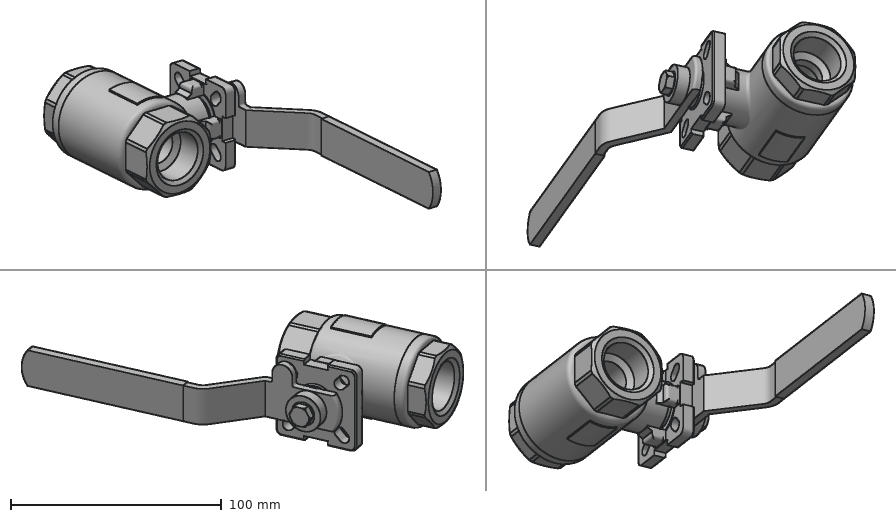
import cadquery as cq
import math


length = 188.8
cap_face_x = -46.8
joint_x = -30.8
flange_x = -36.5
shoulder_x = 17.0
housing_face_x = 34.2

barrel_diameter = 44.7
barrel_fillet = 2.8
flange_fillet = 1.7

octagon_flats = 38.3
octagon_corner_radius = 20.4
end_face_radius = 18.1
end_chamfer_length = 1.5

port_radius = 8.7
thread_radius = 12.0
thread_mouth_radius = 14.2
mouth_depth = 1.7
thread_depth = 15.0
cone_depth = 1.9
spigot_radius = 16.0
spigot_length = 5.7

plate_length = 21.7
plate_width = 14.7
plate_radius = 23.0

neck_radius = 13.5
neck_top_y = 34.4
neck_fillet = 1.5

pad_bottom_y = 37.4
pad_top_y = 43.8
pad_size = 42.9
pad_corner = 3.0
pad_relief = 0.4
pad_chamfer = 0.8
pad_recess_width = 12.6
pad_recess_depth = 2.6
slot_inner = 12.6
slot_outer = 15.0
slot_radius = 2.8

lug_width = 9.3
lug_outer = 18.3
lug_bottom_y = 30.2
lug_root_y = 27.5
lug_heel = 15.3
lug_edge_fillet = 1.3
lug_corner_fillet = 1.7
lug_land = 1.1

stem_radius = 6.0
stem_bottom_y = 11.3

bush_radius = 10.0
bush_shoulder_height = 0.8
collar_radius = 9.3
handle_bottom_y = 46.5
handle_thickness = 4.2
collar_top_y = 56.8

hex_flats = 9.8
hex_height = 4.0
hex_chamfer = 0.5

handle_width = 18.9
crank_start_x = 25.3
crank_angle = 45.0
crank_rise = 22.5
crank_radius = 5.5
handle_end_radius = 16.0
handle_edge_fillet = 1.3
finger_left_x = 9.0
finger_right_x = 19.8
finger_top_z = 19.8
finger_shoulder_z = 15.1
finger_root_fillet = 1.1

grip_start_x = 55.7
grip_thickness = 5.0
grip_tip_bulge = 3.2

barrel_radius = barrel_diameter / 2
grip_tip_x = cap_face_x + length
handle_top_y = handle_bottom_y + handle_thickness
grip_top_y = handle_top_y + crank_rise


def x_cylinder(radius, start_x, end_x):
    return cq.Workplane("YZ", origin=(start_x, 0, 0)).circle(radius).extrude(end_x - start_x)


def y_cylinder(radius, start_y, end_y):
    return cq.Workplane("XZ", origin=(0, start_y, 0)).circle(radius).extrude(start_y - end_y)


def wrench_end(face_x, inner_x):
    """Octagon with rounded corners and a conical chamfer at its outer face."""
    inward = math.copysign(1, inner_x - face_x)
    octagon = (
        cq.Workplane("YZ", origin=(face_x, 0, 0))
        .polygon(8, octagon_flats, circumscribed=True)
        .extrude(inner_x - face_x)
    )
    envelope = (
        cq.Workplane("XY")
        .moveTo(face_x, 0)
        .lineTo(face_x, end_face_radius)
        .lineTo(face_x + inward * end_chamfer_length, octagon_corner_radius)
        .lineTo(inner_x, octagon_corner_radius)
        .lineTo(inner_x, 0)
        .close()
        .revolve(360, (0, 0, 0), (1, 0, 0))
    )
    return octagon.intersect(envelope)


def threaded_port(face_x, inward, end_x):
    """Chamfered mouth, thread bore and drill cone, leading into the flow passage."""
    return (
        cq.Workplane("XY")
        .moveTo(face_x, 0)
        .lineTo(face_x, thread_mouth_radius)
        .lineTo(face_x + inward * mouth_depth, thread_radius)
        .lineTo(face_x + inward * thread_depth, thread_radius)
        .lineTo(face_x + inward * (thread_depth + cone_depth), port_radius)
        .lineTo(end_x, port_radius)
        .lineTo(end_x, 0)
        .close()
        .revolve(360, (0, 0, 0), (1, 0, 0))
    )


def make_lug():
    """Lug on the +X side of the neck that carries the mounting pad."""
    square_y = pad_bottom_y - lug_land
    profile = (
        cq.Workplane("XY", origin=(0, 0, -lug_width / 2))
        .moveTo(0, pad_bottom_y)
        .lineTo(lug_outer, pad_bottom_y)
        .lineTo(lug_outer, lug_bottom_y + lug_corner_fillet)
        .radiusArc((lug_outer - lug_corner_fillet, lug_bottom_y), lug_corner_fillet)
        .lineTo(lug_heel, lug_bottom_y)
        .lineTo(neck_radius, lug_root_y)
        .lineTo(0, lug_root_y)
        .close()
        .extrude(lug_width)
    )
    slim = (
        cq.Workplane("XZ", origin=(0, lug_root_y, 0))
        .rect(2 * lug_outer, lug_width)
        .extrude(lug_root_y - square_y)
        .edges("|Y")
        .fillet(lug_edge_fillet)
    )
    land = cq.Workplane("XZ", origin=(0, square_y, 0)).rect(2 * lug_outer, lug_width).extrude(-lug_land)
    core = y_cylinder(neck_radius, lug_root_y, pad_bottom_y)
    return profile.intersect(slim.union(land)).cut(core)


def make_pad():
    """Square mounting pad with chamfered top, side recesses and four diagonal slots, relieved over the neck."""
    pad = (
        cq.Workplane("XZ", origin=(0, pad_bottom_y, 0))
        .rect(pad_size, pad_size)
        .extrude(pad_bottom_y - pad_top_y)
        .edges("|Y")
        .fillet(pad_corner)
        .faces(">Y")
        .edges()
        .chamfer(pad_chamfer)
    )
    pad_height = pad_top_y - pad_bottom_y
    recess = cq.Workplane("XY").box(pad_recess_width, pad_height, 2 * pad_recess_depth)
    recess_y = pad_bottom_y + pad_height / 2
    recess = recess.translate((0, recess_y, pad_size / 2))
    for angle in (0, 90, 180):
        pad = pad.cut(recess.rotate((0, 0, 0), (0, 1, 0), angle))

    middle = (slot_inner + slot_outer) / 2
    slot_length = (slot_outer - slot_inner) * math.sqrt(2) + 2 * slot_radius
    for x_side, angle in ((1, 45), (-1, 135)):
        for end in (-1, 1):
            slot = (
                cq.Workplane("XZ", origin=(0, pad_bottom_y, 0))
                .center(end * x_side * middle, end * middle)
                .slot2D(slot_length, 2 * slot_radius, angle)
                .extrude(-pad_height)
            )
            pad = pad.cut(slot)
    return pad.cut(y_cylinder(neck_radius, pad_bottom_y, pad_bottom_y + pad_relief))


def make_housing():
    barrel = x_cylinder(barrel_radius, joint_x, shoulder_x).faces(">X").edges().fillet(barrel_fillet)
    neck = y_cylinder(neck_radius, 0, neck_top_y)
    body = barrel.union(neck)
    saddle_low = (-neck_radius - neck_fillet, 0, -neck_radius - neck_fillet)
    saddle_high = (neck_radius + neck_fillet, barrel_radius + neck_fillet, neck_radius + neck_fillet)
    body = body.edges(cq.selectors.BoxSelector(saddle_low, saddle_high)).fillet(neck_fillet)
    body = body.union(wrench_end(housing_face_x, shoulder_x - barrel_fillet))

    plates = x_cylinder(plate_radius, -plate_length / 2, plate_length / 2).intersect(
        cq.Workplane("XY").box(plate_length, plate_width, 3 * plate_radius)
    )
    body = body.union(plates)
    for quarter in range(4):
        body = body.union(make_lug().rotate((0, 0, 0), (0, 1, 0), 90 * quarter))
    body = body.union(make_pad())

    body = body.cut(threaded_port(housing_face_x, -1, joint_x))
    body = body.cut(x_cylinder(spigot_radius, joint_x, joint_x + spigot_length))
    body = body.cut(y_cylinder(stem_radius, stem_bottom_y, neck_top_y))
    return body.cut(y_cylinder(bush_radius, pad_bottom_y, pad_top_y))


def make_end_cap():
    flange = x_cylinder(barrel_radius, flange_x, joint_x).faces("<X").edges().fillet(flange_fillet)
    spigot_end_x = joint_x + spigot_length
    cap = flange.union(wrench_end(cap_face_x, joint_x))
    cap = cap.union(x_cylinder(spigot_radius, joint_x, spigot_end_x))
    return cap.cut(threaded_port(cap_face_x, 1, spigot_end_x))


def make_stem():
    return y_cylinder(stem_radius, stem_bottom_y, collar_top_y)


def make_bush():
    """Bush that fills the pad bore, with a conical shoulder and a collar under the handle."""
    bush_bottom_y = pad_bottom_y - lug_land
    return (
        cq.Workplane("XY")
        .moveTo(stem_radius, bush_bottom_y)
        .lineTo(bush_radius, bush_bottom_y)
        .lineTo(bush_radius, pad_top_y)
        .lineTo(collar_radius, pad_top_y + bush_shoulder_height)
        .lineTo(collar_radius, handle_bottom_y)
        .lineTo(stem_radius, handle_bottom_y)
        .close()
        .revolve(360, (0, 0, 0), (0, 1, 0))
    )


def make_collar():
    collar = y_cylinder(collar_radius, handle_top_y, collar_top_y)
    return collar.cut(y_cylinder(stem_radius, handle_top_y, collar_top_y))


def make_hex_head():
    top_y = collar_top_y + hex_height
    corner_radius = hex_flats / math.sqrt(3)
    head = (
        cq.Workplane("XZ", origin=(0, collar_top_y, 0))
        .polygon(6, 2 * corner_radius)
        .extrude(-hex_height)
    )
    dome = y_cylinder(corner_radius, collar_top_y, top_y).faces(">Y").edges().chamfer(hex_chamfer)
    return head.intersect(dome)


def make_handle_bar():
    """Flat bar, rounded around the stem and cranked up to the grip."""
    half = handle_width / 2
    slope = math.tan(math.radians(crank_angle))
    bend_shift = handle_thickness * math.tan(math.radians(crank_angle / 2))
    upper_x = crank_start_x + crank_rise / slope
    bar = (
        cq.Workplane("XY", origin=(0, 0, -half))
        .moveTo(0, handle_bottom_y)
        .lineTo(crank_start_x, handle_bottom_y)
        .lineTo(upper_x, grip_top_y - handle_thickness)
        .lineTo(grip_start_x, grip_top_y - handle_thickness)
        .lineTo(grip_start_x, grip_top_y)
        .lineTo(upper_x - bend_shift, grip_top_y)
        .lineTo(crank_start_x - bend_shift, handle_top_y)
        .lineTo(0, handle_top_y)
        .close()
        .extrude(handle_width)
    )
    outer_bend = cq.selectors.NearestToPointSelector((upper_x - bend_shift, grip_top_y, 0))
    inner_bend = cq.selectors.NearestToPointSelector((upper_x, grip_top_y - handle_thickness, 0))
    bar = bar.edges("|Z").edges(outer_bend).fillet(crank_radius + handle_thickness)
    bar = bar.edges("|Z").edges(inner_bend).fillet(crank_radius)

    arc_start_x = -math.sqrt(handle_end_radius**2 - half**2)
    rounded_end = (
        cq.Workplane("XZ", origin=(0, handle_bottom_y, 0))
        .moveTo(0, half)
        .lineTo(arc_start_x, half)
        .threePointArc((-handle_end_radius, 0), (arc_start_x, -half))
        .lineTo(0, -half)
        .close()
        .extrude(-handle_thickness)
        .edges("%CIRCLE")
        .fillet(handle_edge_fillet)
    )
    return bar.union(rounded_end)


def make_handle():
    half = handle_width / 2
    finger_middle_x = (finger_left_x + finger_right_x) / 2
    middle_y = handle_bottom_y + handle_thickness / 2
    finger = (
        cq.Workplane("XZ", origin=(0, handle_bottom_y, 0))
        .moveTo(finger_left_x, 0)
        .lineTo(finger_left_x, finger_shoulder_z)
        .threePointArc((finger_middle_x, finger_top_z), (finger_right_x, finger_shoulder_z))
        .lineTo(finger_right_x, 0)
        .close()
        .extrude(-handle_thickness)
    )
    handle = make_handle_bar().union(finger)
    for root_x in (finger_left_x, finger_right_x):
        root = cq.selectors.NearestToPointSelector((root_x, middle_y, half))
        handle = handle.edges("|Y").edges(root).fillet(finger_root_fillet)
    return handle.cut(y_cylinder(stem_radius, handle_bottom_y, handle_top_y))


def make_grip():
    half = handle_width / 2
    corner_x = grip_tip_x - grip_tip_bulge
    return (
        cq.Workplane("XZ", origin=(0, grip_top_y, 0))
        .moveTo(grip_start_x, -half)
        .lineTo(corner_x, -half)
        .threePointArc((grip_tip_x, 0), (corner_x, half))
        .lineTo(grip_start_x, half)
        .close()
        .extrude(grip_thickness)
    )


housing = make_housing()
end_cap = make_end_cap()
stem = make_stem()
bush = make_bush()
handle = make_handle()
collar = make_collar()
hex_head = make_hex_head()
grip = make_grip()

result = cq.Compound.makeCompound(
    [
        housing.val(),
        end_cap.val(),
        stem.val(),
        bush.val(),
        handle.val(),
        collar.val(),
        hex_head.val(),
        grip.val(),
    ]
)